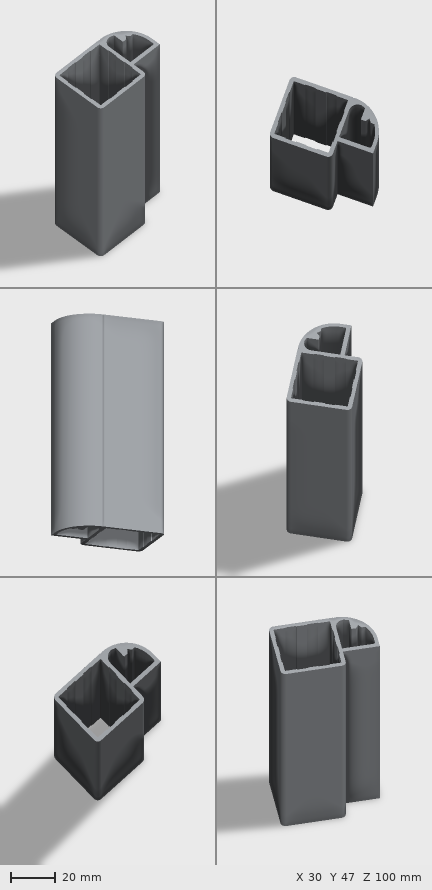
import cadquery as cq
import math

length = 100.0
tube_side = 30.0
height = 47.0
wall = 2.0
bore_corner_fillet = 0.3
tube_corner_radius = 2.3

relief_depth = 0.3
relief_width = 5.0
relief_offsets = (-5.0, 5.0)

chamber_width = 21.5
arc_radius = 16.5
arc_wall = 1.7
floor_fillet = 4.0
top_corner_fillet = 0.8

boss_face_x = 8.5
boss_bottom_y = 36.5
boss_fillet = 0.4
notch_center_y = 40.0
notch_depth = 1.7
notch_half_width = 1.3

groove_center_y = 30.0
groove_half_width = 0.5
groove_depth = 0.3

arc_center_x = arc_radius
arc_center_y = height - arc_radius
inner_radius = arc_radius - arc_wall
middle = tube_side / 2


def centered_prism(width, depth, x, y):
    """Full-length rectangular prism centered at (x, y)."""
    return cq.Workplane("XY").center(x, y).rect(width, depth).extrude(length)


def quarter_round(radius, right, bottom):
    """Full-length prism with a quarter-round at its upper left."""
    left = arc_center_x - radius
    top = arc_center_y + radius
    diagonal = radius * math.sqrt(0.5)
    return (
        cq.Workplane("XY")
        .moveTo(left, bottom)
        .lineTo(left, arc_center_y)
        .threePointArc(
            (arc_center_x - diagonal, arc_center_y + diagonal),
            (arc_center_x, top),
        )
        .lineTo(right, top)
        .lineTo(right, bottom)
        .close()
        .extrude(length)
    )


def v_prism(face_x, center_y, depth, half_width):
    """Triangular cutter with its base on face_x; positive depth points toward +X."""
    return (
        cq.Workplane("XY")
        .moveTo(face_x, center_y - half_width)
        .lineTo(face_x + depth, center_y)
        .lineTo(face_x, center_y + half_width)
        .close()
        .extrude(length)
    )


def tube_body():
    body = centered_prism(tube_side, tube_side, middle, middle)
    rounded_edges = body.edges("|Z").edges("<Y or >X")
    return rounded_edges.fillet(tube_corner_radius)


def tube_bore():
    bore_side = tube_side - 2 * wall
    relief_span = bore_side + 2 * relief_depth
    bore = centered_prism(bore_side, bore_side, middle, middle).edges("|Z").fillet(bore_corner_fillet)
    for offset in relief_offsets:
        bore = bore.union(centered_prism(relief_width, relief_span, middle + offset, middle))
        bore = bore.union(centered_prism(relief_span, relief_width, middle, middle + offset))
    return bore


def boss():
    boss_height = height - boss_bottom_y
    block = centered_prism(boss_face_x, boss_height, boss_face_x / 2, boss_bottom_y + boss_height / 2)
    block = block.edges("|Z and >X and <Y").fillet(boss_fillet)
    return block.cut(v_prism(boss_face_x, notch_center_y, -notch_depth, notch_half_width))


def chamber_cavity():
    cavity = quarter_round(inner_radius, chamber_width - wall, tube_side)
    fillet_y = tube_side + floor_fillet
    fillet_x = arc_center_x - math.sqrt(
        (inner_radius - floor_fillet) ** 2 - (fillet_y - arc_center_y) ** 2
    )
    corner = centered_prism(fillet_x, floor_fillet, fillet_x / 2, tube_side + floor_fillet / 2)
    roller = cq.Workplane("XY").center(fillet_x, fillet_y).circle(floor_fillet).extrude(length)
    cavity = cavity.edges("|Z and >X and >Y").fillet(top_corner_fillet)
    return cavity.cut(corner.cut(roller)).cut(boss())


body = tube_body().union(quarter_round(arc_radius, chamber_width, middle))
groove = v_prism(0, groove_center_y, groove_depth, groove_half_width)
result = body.cut(tube_bore()).cut(chamber_cavity()).cut(groove)